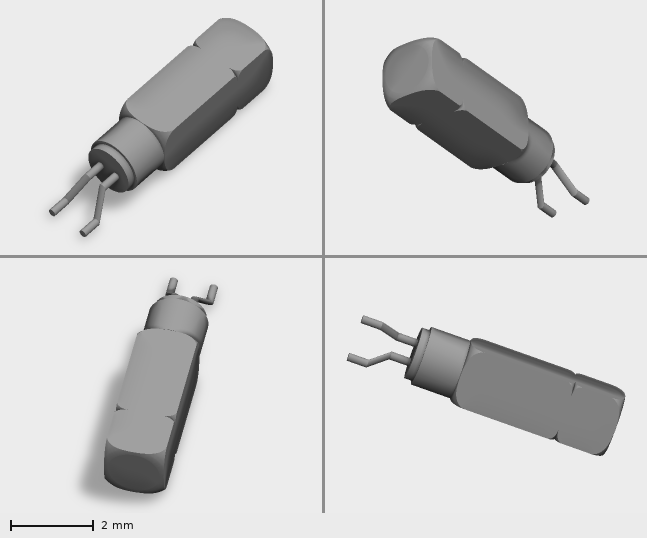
import cadquery as cq

total_length = 6.7
width = 1.48
head_length = 4.0
collar_length = 1.0
step_length = 0.2
step_diameter = 1.3

turned_diameter = 2.1
end_rounding = 0.4
groove_rounding = 0.2
groove_from_back = 1.3

lead_diameter = 0.2
lead_inner_offset = 0.25
lead_outer_offset = 0.495
lead_drop = (width - lead_diameter) / 2

y_back = total_length / 2
y_groove = y_back - groove_from_back
y_shoulder = y_back - head_length
y_collar_end = y_shoulder - collar_length
y_step_end = y_collar_end - step_length
y_tip = -total_length / 2
lead_segment = (y_step_end - y_tip) / 3


def disc_along_y(diameter, y_start, y_end):
    """Cylinder on the Y axis running from y_start up to y_end."""
    return (
        cq.Workplane("XZ", origin=(0, y_end, 0))
        .circle(diameter / 2)
        .extrude(y_end - y_start)
    )


def turned_section(y_start, y_end, start_rounding, finish_rounding):
    """Turned bar section with a different rounding on each end."""
    return (
        disc_along_y(turned_diameter, y_start, y_end)
        .faces("<Y").edges().fillet(start_rounding)
        .faces(">Y").edges().fillet(finish_rounding)
    )


def make_housing():
    """Square head with rounded corners and a groove, plus the round collar and step."""
    front_section = turned_section(y_shoulder, y_groove, end_rounding, groove_rounding)
    back_section = turned_section(y_groove, y_back, groove_rounding, end_rounding)
    square_bar = cq.Workplane("XY").box(width, head_length, width).translate(
        (0, (y_shoulder + y_back) / 2, 0)
    )
    head = square_bar.intersect(front_section.union(back_section))
    collar = disc_along_y(width, y_collar_end, y_shoulder)
    step = disc_along_y(step_diameter, y_step_end, y_collar_end)
    return head.union(collar).union(step).solids()


def make_lead(side):
    """Lead cranked outward and down; side is -1 for -X and +1 for +X."""
    y_bend_start = y_step_end - lead_segment
    y_bend_end = y_bend_start - lead_segment
    inner_x = side * lead_inner_offset
    outer_x = side * lead_outer_offset

    inner_run = disc_along_y(lead_diameter, y_bend_start, y_step_end).translate((inner_x, 0, 0))
    outer_run = disc_along_y(lead_diameter, y_tip, y_bend_end).translate((outer_x, 0, -lead_drop))
    bent_run = (
        cq.Workplane("XZ", origin=(inner_x, y_bend_start, 0))
        .circle(lead_diameter / 2)
        .workplane(offset=lead_segment)
        .center(outer_x - inner_x, -lead_drop)
        .circle(lead_diameter / 2)
        .loft(ruled=True)
    )
    return inner_run.union(bent_run).union(outer_run).solids()


housing = make_housing()
leads = [make_lead(side).val() for side in (-1, 1)]

result = cq.Compound.makeCompound([housing.val(), *leads])